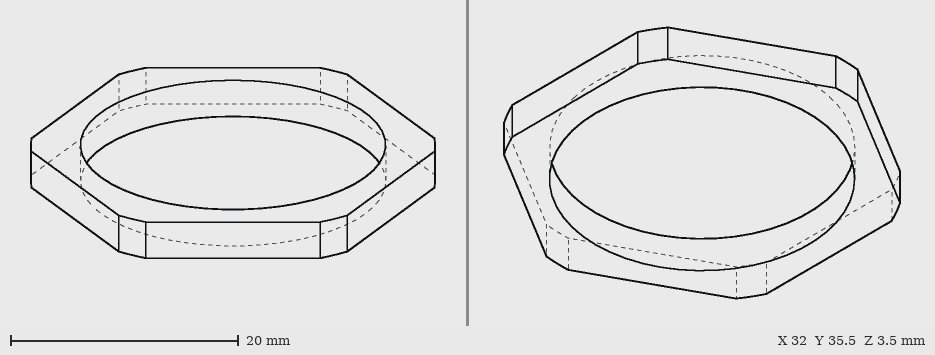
import cadquery as cq
import math

across_flats = 32.0
corner_diameter = 35.5
bore_diameter = 26.8
thickness = 3.5

across_corners = across_flats / math.cos(math.radians(30))
hexagon = (
    cq.Workplane("XY")
    .transformed(rotate=(0, 0, 90))
    .polygon(6, across_corners)
    .extrude(thickness)
)

envelope = cq.Workplane("XY").circle(corner_diameter / 2).extrude(thickness)
nut_blank = hexagon.intersect(envelope)

bore = cq.Workplane("XY").circle(bore_diameter / 2).extrude(thickness)
result = nut_blank.cut(bore)